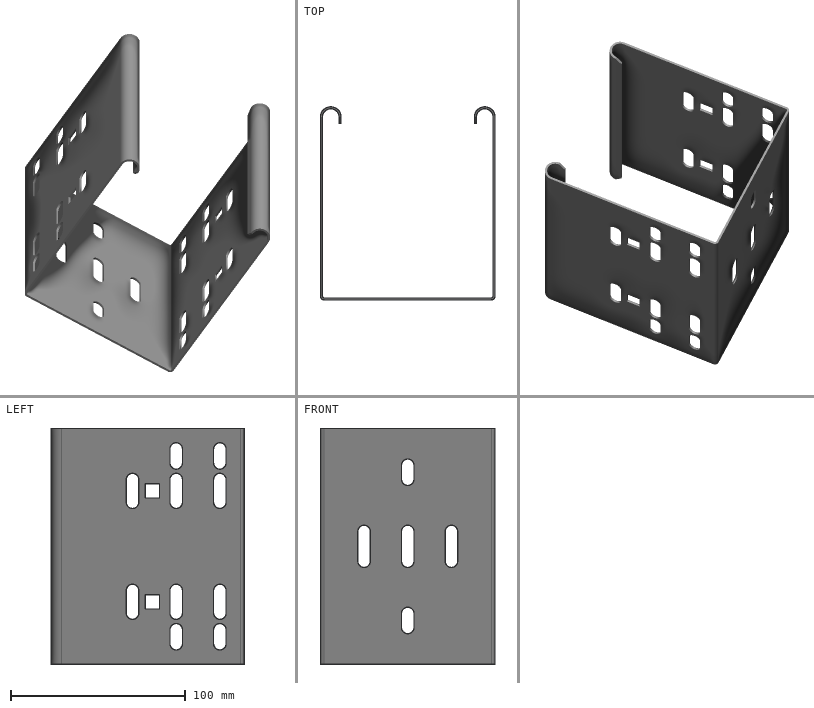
import cadquery as cq

WIDTH = 100.0
DEPTH = 110.5
HEIGHT = 135.0
SHEET = 1.25

CORNER_INNER_RADIUS = 1.0
CORNER_RADIUS = CORNER_INNER_RADIUS + SHEET
HOOK_INNER_RADIUS = 4.7
HOOK_RADIUS = HOOK_INNER_RADIUS + SHEET
LIP_LENGTH = 3.5
LIP_CHAMFER_HEIGHT = LIP_LENGTH

SLOT_WIDTH = 7.0
SHORT_SLOT = 15.0
MEDIUM_SLOT = 20.0
LONG_SLOT = 24.0
SLOT_PITCH = 25.0

FRONT_SHORT_Z = 42.4

SIDE_FIRST_COLUMN = 14.0
SIDE_MEDIUM_Z = 31.7
SIDE_SHORT_Z = 51.7
SQUARE_SIZE = 8.0
SQUARE_FROM_FRONT = 52.6

FRONT_Y = -DEPTH / 2
HOOK_CENTER_X = WIDTH / 2 - HOOK_RADIUS
HOOK_CENTER_Y = DEPTH / 2 - HOOK_RADIUS
LIP_END_Y = HOOK_CENTER_Y - LIP_LENGTH
CUT_MARGIN = 1.4


def make_channel():
    """Front wall and two side walls with rounded front corners."""
    depth = HOOK_CENTER_Y - FRONT_Y
    inner_width = WIDTH - 2 * SHEET
    outer = (
        cq.Workplane("XY")
        .box(WIDTH, depth, HEIGHT, centered=(True, False, True))
        .edges("|Z and <Y")
        .fillet(CORNER_RADIUS)
    )
    inner = (
        cq.Workplane("XY")
        .box(inner_width, depth, HEIGHT, centered=(True, False, True))
        .edges("|Z and <Y")
        .fillet(CORNER_INNER_RADIUS)
        .translate((0, SHEET, 0))
    )
    return outer.cut(inner).translate((0, FRONT_Y, 0))


def make_hook():
    """Right-hand half-round hook ending in a lip that points back to the front."""
    hook = (
        cq.Workplane("XY", origin=(HOOK_CENTER_X, HOOK_CENTER_Y, -HEIGHT / 2))
        .moveTo(HOOK_RADIUS, 0)
        .threePointArc((0, HOOK_RADIUS), (-HOOK_RADIUS, 0))
        .lineTo(-HOOK_RADIUS, -LIP_LENGTH)
        .lineTo(-HOOK_INNER_RADIUS, -LIP_LENGTH)
        .lineTo(-HOOK_INNER_RADIUS, 0)
        .threePointArc((0, HOOK_INNER_RADIUS), (HOOK_INNER_RADIUS, 0))
        .close()
        .extrude(HEIGHT)
    )
    return hook.cut(lip_corner(1)).cut(lip_corner(-1))


def lip_corner(end):
    """Triangular prism that cuts the 45 degree bevel of the lip: top (end=1) or bottom (end=-1)."""
    return (
        cq.Workplane("YZ", origin=(HOOK_CENTER_X - HOOK_RADIUS, 0, 0))
        .moveTo(HOOK_CENTER_Y, end * HEIGHT / 2)
        .lineTo(LIP_END_Y, end * HEIGHT / 2)
        .lineTo(LIP_END_Y, end * (HEIGHT / 2 - LIP_CHAMFER_HEIGHT))
        .close()
        .extrude(SHEET)
    )


def front_slots(length, points):
    """Upright slots through the front wall, placed by (x, z)."""
    return (
        cq.Workplane("XZ", origin=(0, FRONT_Y - CUT_MARGIN, 0))
        .pushPoints(points)
        .slot2D(length, SLOT_WIDTH, 90)
        .extrude(-(SHEET + 2 * CUT_MARGIN))
    )


def side_plane():
    """Sketch plane just outside the left wall; x is measured from the front face."""
    return cq.Workplane("YZ", origin=(-WIDTH / 2 - CUT_MARGIN, FRONT_Y, 0))


def side_slots(length, points):
    """Upright slots through both side walls, placed by (distance from front, z)."""
    return (
        side_plane()
        .pushPoints(points)
        .slot2D(length, SLOT_WIDTH, 90)
        .extrude(WIDTH + 2 * CUT_MARGIN)
    )


def side_squares(points):
    """Square holes through both side walls, placed by (distance from front, z)."""
    return (
        side_plane()
        .pushPoints(points)
        .rect(SQUARE_SIZE, SQUARE_SIZE)
        .extrude(WIDTH + 2 * CUT_MARGIN)
    )


hook = make_hook()
body = make_channel().union(hook).union(hook.mirror("YZ"))

body = body.cut(front_slots(LONG_SLOT, [(i * SLOT_PITCH, 0) for i in (-1, 0, 1)]))
body = body.cut(front_slots(SHORT_SLOT, [(0, FRONT_SHORT_Z), (0, -FRONT_SHORT_Z)]))

columns = [SIDE_FIRST_COLUMN + i * SLOT_PITCH for i in range(3)]
for side in (1, -1):
    body = body.cut(side_slots(MEDIUM_SLOT, [(y, side * SIDE_MEDIUM_Z) for y in columns]))
    body = body.cut(side_slots(SHORT_SLOT, [(y, side * SIDE_SHORT_Z) for y in columns[:2]]))
    body = body.cut(side_squares([(SQUARE_FROM_FRONT, side * SIDE_MEDIUM_Z)]))

result = body